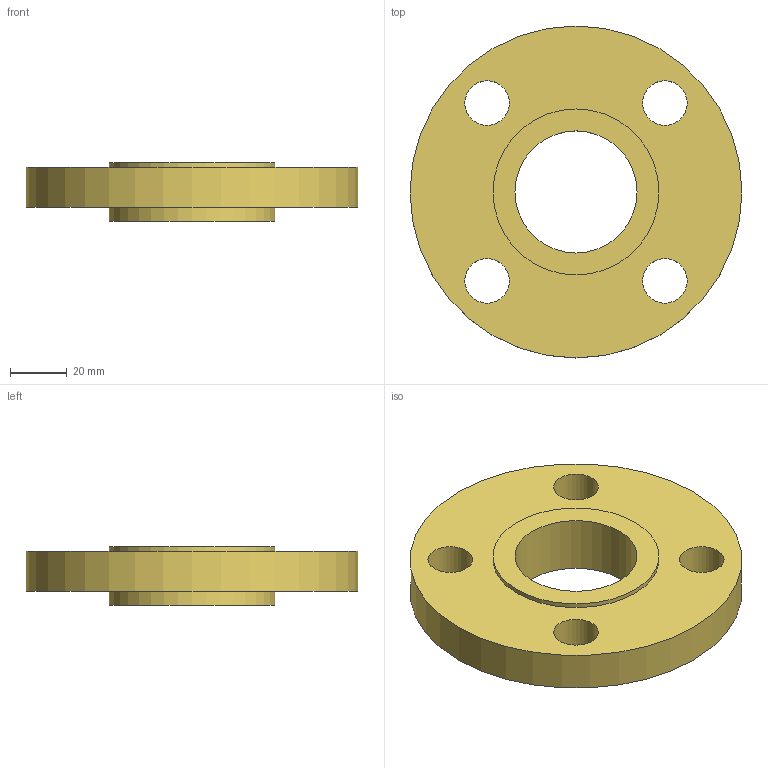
import cadquery as cq

flange_diameter = 117.35
overall_height = 20.57

hub_diameter = 58.67
bore_diameter = 43.18
raised_face_height = 1.59
flange_thickness = 14.16
hub_height = overall_height - flange_thickness - raised_face_height

bolt_hole_count = 4
bolt_hole_diameter = 15.75
bolt_circle_diameter = 88.9
first_bolt_angle = 45


def make_body():
    """Hub, flange disc and raised face stacked along Z, with the hub base at Z = 0."""
    return (
        cq.Workplane("XY")
        .circle(hub_diameter / 2)
        .extrude(hub_height)
        .faces(">Z")
        .workplane()
        .circle(flange_diameter / 2)
        .extrude(flange_thickness)
        .faces(">Z")
        .workplane()
        .circle(hub_diameter / 2)
        .extrude(raised_face_height)
    )


def make_bore():
    """Cylinder that clears the central pipe bore."""
    return cq.Workplane("XY").circle(bore_diameter / 2).extrude(overall_height)


def make_bolt_holes():
    """Cylinders on the bolt circle that clear the full thickness of the flange."""
    return (
        cq.Workplane("XY")
        .polarArray(bolt_circle_diameter / 2, first_bolt_angle, 360, bolt_hole_count)
        .circle(bolt_hole_diameter / 2)
        .extrude(overall_height)
    )


result = make_body().cut(make_bore()).cut(make_bolt_holes())